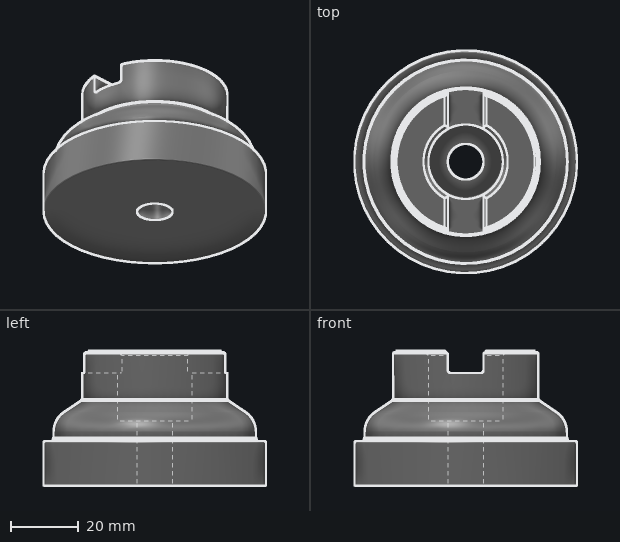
import cadquery as cq
import math

ring_diameter = 66
ring_height = 13.3
ring_top_fillet = 0.8
ring_bottom_fillet = 0.4
collar_radius = 30.2
collar_top_z = 13.7

total_height = 40.0
shoulder_radius = 60.0 / 2
shoulder_bottom_z = 14.3
shoulder_top_z = 16.0
cone_angle = math.radians(34)
cone_top_z = 25.15
boss_radius = 43.0 / 2
boss_root_radius = 22.0
boss_bottom_z = 25.75
rim_radius = 20.45
rim_height = 0.4
boss_edge_chamfer = 0.4

bore_diameter = 22.05
bore_floor_z = 19.15
bore_floor_fillet = 0.5
bore_chamfer_width = 1.45
bore_chamfer_height = 1.45
screw_hole_diameter = 10.5
slot_width = 10.5
slot_depth = 6.6
slot_floor_fillet = 0.8
slot_edge_chamfer = 1.0


def make_ring():
    """Base disc with rounded rims, a low collar on top and a central screw hole."""
    disc = cq.Workplane("XY").circle(ring_diameter / 2).extrude(ring_height)
    disc = disc.faces(">Z").edges().fillet(ring_top_fillet)
    disc = disc.faces("<Z").edges().fillet(ring_bottom_fillet)
    collar = cq.Workplane("XY").circle(collar_radius).extrude(collar_top_z)
    screw_hole = cq.Workplane("XY").circle(screw_hole_diameter / 2).extrude(collar_top_z)
    return disc.union(collar).cut(screw_hole)


def make_hub_blank():
    """Revolved hub: flared foot, cylindrical shoulder, rounded cone and boss with a raised rim."""
    cone_corner_z = cone_top_z - (shoulder_radius - boss_root_radius) * math.tan(cone_angle)
    tangent_length = cone_corner_z - shoulder_top_z
    arc_start = (shoulder_radius, shoulder_top_z)
    arc_end = (
        shoulder_radius - tangent_length * math.cos(cone_angle),
        cone_corner_z + tangent_length * math.sin(cone_angle),
    )
    rim_base_z = total_height - rim_height
    profile = (
        cq.Workplane("XZ")
        .moveTo(0, collar_top_z)
        .lineTo(collar_radius, collar_top_z)
        .lineTo(shoulder_radius, shoulder_bottom_z)
        .lineTo(*arc_start)
        .tangentArcPoint(arc_end, relative=False)
        .lineTo(boss_root_radius, cone_top_z)
        .lineTo(boss_radius, boss_bottom_z)
        .lineTo(boss_radius, rim_base_z - boss_edge_chamfer)
        .lineTo(boss_radius - boss_edge_chamfer, rim_base_z)
        .lineTo(rim_radius, rim_base_z)
        .lineTo(rim_radius, total_height)
        .lineTo(0, total_height)
        .close()
    )
    return profile.revolve(360, (0, 0, 0), (0, 1, 0))


def make_bore_cutter():
    """Blind arbor bore with a rounded floor and chamfered mouth, plus the screw hole."""
    bore_radius = bore_diameter / 2
    bore = (
        cq.Workplane("XY", origin=(0, 0, bore_floor_z))
        .circle(bore_radius)
        .extrude(total_height - bore_floor_z)
        .faces("<Z")
        .edges()
        .fillet(bore_floor_fillet)
    )
    mouth = cq.Workplane("XY").add(
        cq.Solid.makeCone(
            bore_radius,
            bore_radius + bore_chamfer_width,
            bore_chamfer_height,
            pnt=cq.Vector(0, 0, total_height - bore_chamfer_height),
        )
    )
    screw_hole = cq.Workplane("XY").circle(screw_hole_diameter / 2).extrude(total_height)
    return bore.union(mouth).union(screw_hole)


def make_slot_cutter():
    """Driving slot along Y with rounded floor corners and chamfered top edges."""
    half_width = slot_width / 2
    half_length = ring_diameter / 2
    floor_z = total_height - slot_depth
    channel = (
        cq.Workplane("XY", origin=(0, 0, floor_z))
        .rect(slot_width, 2 * half_length)
        .extrude(slot_depth)
        .faces("<Z")
        .edges("|Y")
        .fillet(slot_floor_fillet)
    )
    flare = (
        cq.Workplane("XZ")
        .moveTo(-half_width, total_height - slot_edge_chamfer)
        .lineTo(half_width, total_height - slot_edge_chamfer)
        .lineTo(half_width + slot_edge_chamfer, total_height)
        .lineTo(-half_width - slot_edge_chamfer, total_height)
        .close()
        .extrude(half_length, both=True)
    )
    return channel.union(flare)


ring = make_ring()
hub = make_hub_blank().cut(make_bore_cutter()).cut(make_slot_cutter())

result = cq.Compound.makeCompound([ring.val(), hub.val()])